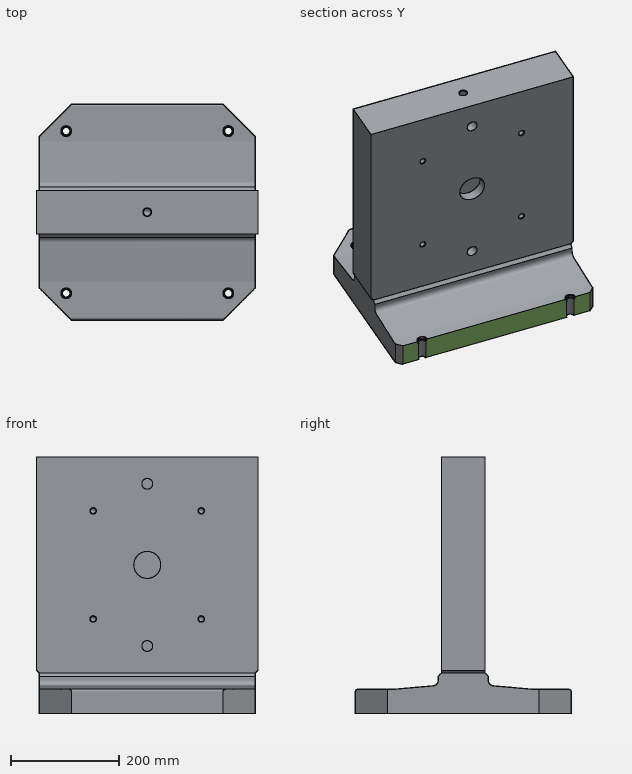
import cadquery as cq
import math

base_size = 400.0
base_corner = 60.0
base_edge_height = 45.0
edge_rounding = 5.0
flat_to_slope_y = 130.0
slope_angle = 5.0

neck_half_thickness = 46.5
neck_bevel = 6.0
neck_fillet = 10.0

plate_width = 410.0
plate_height = 400.0
plate_bottom = 75.0
plate_thickness = 2 * (neck_half_thickness - neck_bevel)
plate_top = plate_bottom + plate_height
plate_overhang = (plate_width - base_size) / 2
plate_center = plate_bottom + plate_height / 2

base_hole_pitch = 300.0
base_hole_mouth = 20.0
base_hole_upper_diameter = 17.0
base_hole_upper_depth = 5.0
base_hole_diameter = 13.8

face_hole_pitch = 200.0
face_hole_mouth = 12.0
face_hole_diameter = 10.2
face_hole_depth = 25.0

dowel_pitch = 300.0
dowel_diameter = 20.0
dowel_depth = 20.0
center_bore_diameter = 50.0
center_bore_depth = 20.0

lift_hole_mouth = 16.0
lift_hole_diameter = 13.8
lift_hole_depth = 35.0

drill_point_angle = 118.0

ARC_MIDDLE_INSET = 1 - math.sqrt(0.5)


def make_base_and_neck():
    """Extrude the symmetric base and neck section along X and cut the foot corners."""
    half = base_size / 2
    fillet_foot_y = neck_half_thickness + neck_fillet
    slope_rise = (flat_to_slope_y - fillet_foot_y) * math.tan(math.radians(slope_angle))
    fillet_foot_z = base_edge_height + slope_rise
    fillet_inset = neck_fillet * ARC_MIDDLE_INSET
    fillet_middle = (neck_half_thickness + fillet_inset, fillet_foot_z + fillet_inset)
    rounding_inset = edge_rounding * ARC_MIDDLE_INSET
    rounding_middle = (half - rounding_inset, base_edge_height - rounding_inset)
    half_section = (
        cq.Workplane("YZ")
        .moveTo(0, 0)
        .lineTo(half, 0)
        .lineTo(half, base_edge_height - edge_rounding)
        .threePointArc(rounding_middle, (half - edge_rounding, base_edge_height))
        .lineTo(flat_to_slope_y, base_edge_height)
        .lineTo(fillet_foot_y, fillet_foot_z)
        .threePointArc(fillet_middle, (neck_half_thickness, fillet_foot_z + neck_fillet))
        .lineTo(neck_half_thickness, plate_bottom - neck_bevel)
        .lineTo(neck_half_thickness - neck_bevel, plate_bottom)
        .lineTo(0, plate_bottom)
        .close()
        .extrude(half, both=True)
    )
    body = half_section.union(half_section.mirror("XZ"))
    footprint = (
        cq.Workplane("XY")
        .rect(base_size, base_size)
        .extrude(plate_bottom)
        .edges("|Z")
        .chamfer(base_corner)
    )
    return body.intersect(footprint)


def make_plate():
    """Upright plate whose overhanging lower side edges are beveled back to the base width."""
    return (
        cq.Workplane("XY", origin=(0, 0, plate_bottom))
        .rect(plate_width, plate_thickness)
        .extrude(plate_height)
        .edges("|Y and <Z")
        .chamfer(plate_overhang)
    )


def top_plane(height):
    return cq.Workplane("XY", origin=(0, 0, height))


def face_plane():
    """Plane on the -Y face of the plate, centered on its bore."""
    return cq.Workplane("XZ", origin=(0, -plate_thickness / 2, plate_center))


def drilled_hole(mouth, diameter, depth):
    """Cutter for a blind hole entered at Z = 0: 45 degree countersink, bore and drill point."""
    radius = diameter / 2
    countersink_depth = mouth / 2 - radius
    point_length = radius / math.tan(math.radians(drill_point_angle / 2))
    return (
        cq.Workplane("XZ")
        .moveTo(0, 0)
        .lineTo(mouth / 2, 0)
        .lineTo(radius, -countersink_depth)
        .lineTo(radius, -depth)
        .lineTo(0, -depth - point_length)
        .close()
        .revolve(360, (0, 0), (0, 1))
        .val()
    )


def drill_base_holes(body):
    upper_hole = cq.Workplane(drilled_hole(base_hole_mouth, base_hole_upper_diameter, base_hole_upper_depth))
    lower_hole = cq.Workplane("XY").circle(base_hole_diameter / 2).extrude(-base_edge_height)
    cutter = upper_hole.union(lower_hole).val()
    return body.cut(
        top_plane(base_edge_height)
        .rect(base_hole_pitch, base_hole_pitch, forConstruction=True)
        .vertices()
        .eachpoint(cutter, useLocalCoordinates=True)
    )


def drill_face_holes(body):
    cutter = drilled_hole(face_hole_mouth, face_hole_diameter, face_hole_depth)
    return body.cut(
        face_plane()
        .rect(face_hole_pitch, face_hole_pitch, forConstruction=True)
        .vertices()
        .eachpoint(cutter, useLocalCoordinates=True)
    )


def bore_face(body):
    bored = body.copyWorkplane(face_plane()).hole(center_bore_diameter, center_bore_depth)
    return (
        bored.copyWorkplane(face_plane())
        .pushPoints([(0, -dowel_pitch / 2), (0, dowel_pitch / 2)])
        .hole(dowel_diameter, dowel_depth)
    )


def drill_lift_hole(body):
    cutter = drilled_hole(lift_hole_mouth, lift_hole_diameter, lift_hole_depth)
    return body.cut(top_plane(plate_top).eachpoint(cutter, useLocalCoordinates=True))


result = make_base_and_neck().union(make_plate())
result = drill_base_holes(result)
result = drill_face_holes(result)
result = bore_face(result)
result = drill_lift_hole(result)